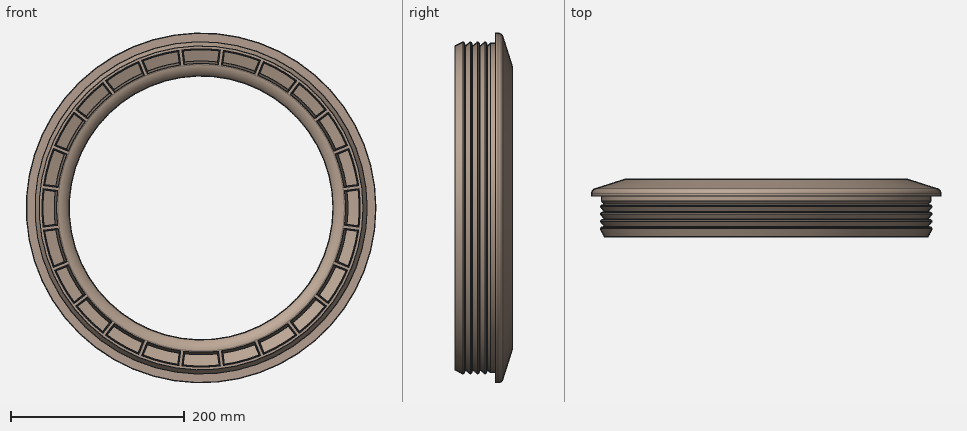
import cadquery as cq
import math


outer_radius = 201.5
total_depth = 66.5
front_rim_radius = 186.5

flange_front = 46.7
flange_round_start = 49.5
flange_round_radius = 6.0
back_slope = math.radians(17.7)
back_inner_radius = 161.5

neck_radius = 380.0 / 2
neck_front = 41.0

barb_count = 4
barb_pitch = 8.5
first_barb_tip = 9.3
barb_tip_radius = 191.5
barb_shoulder_radius = 190.2
barb_root_radius = 186.5
barb_shoulder_offset = 1.5
barb_root_offset = 3.0

bore_radius = 152.0
nose_outer_radius = 165.2
nose_depth = 8.5
nose_arc_radius = 16.0
lip_tips = [21.0, 35.5]
land_width = 2.5
lip_height = 6.0
groove_radius = 167.5
groove_front = 39.5
groove_back = 60.0

pocket_count = 24
pocket_inner_depth = 32.2
pocket_outer_depth = 28.2
pocket_outer_radius = 183.5
pocket_outer_floor_radius = 182.0
pocket_inner_radius = 166.5
pocket_inner_floor_radius = 169.3
rib_width = 3.5
rib_floor_width = 6.5


def outer_barb_points():
    """Sawtooth points from the front rim to the neck."""
    points = []
    for index in range(barb_count):
        tip = first_barb_tip + index * barb_pitch
        points.append((barb_tip_radius, tip))
        points.append((barb_shoulder_radius, tip + barb_shoulder_offset))
        points.append((barb_root_radius, tip + barb_root_offset))
    return points


def inner_lip_points():
    """Lip points from the nose towards the back of the bore."""
    points = [(bore_radius, nose_depth + land_width)]
    for tip in lip_tips:
        points.append((bore_radius + lip_height, tip - lip_height))
        points.append((bore_radius, tip))
        points.append((bore_radius, tip + land_width))
    return points


def make_body():
    """Revolve the full ring profile."""
    round_center = (outer_radius - flange_round_radius, flange_round_start)

    def round_point(angle):
        return (
            round_center[0] + flange_round_radius * math.cos(angle),
            round_center[1] + flange_round_radius * math.sin(angle),
        )

    round_sweep = math.pi / 2 - back_slope
    round_end = round_point(round_sweep)
    back_outer_radius = round_end[0] - (total_depth - round_end[1]) / math.tan(back_slope)

    profile = cq.Workplane("XY").moveTo(front_rim_radius, 0)
    for point in outer_barb_points():
        profile = profile.lineTo(*point)
    profile = (
        profile.lineTo(neck_radius, neck_front)
        .lineTo(neck_radius, flange_front)
        .lineTo(outer_radius, flange_front)
        .lineTo(outer_radius, flange_round_start)
        .threePointArc(round_point(round_sweep / 2), round_end)
        .lineTo(back_outer_radius, total_depth)
        .lineTo(back_inner_radius, total_depth)
        .lineTo(groove_radius, groove_back)
        .lineTo(groove_radius, groove_front)
    )
    for point in reversed(inner_lip_points()):
        profile = profile.lineTo(*point)
    profile = (
        profile.lineTo(bore_radius, nose_depth)
        .radiusArc((nose_outer_radius, 0), -nose_arc_radius)
        .close()
    )
    return profile.revolve(360, (0, 0, 0), (0, 1, 0))


def make_pockets():
    """Drafted annular channel with a sloping floor, split into pockets by drafted ribs."""
    pockets = (
        cq.Workplane("XY")
        .polyline([
            (pocket_inner_radius, 0),
            (pocket_outer_radius, 0),
            (pocket_outer_floor_radius, pocket_outer_depth),
            (pocket_inner_floor_radius, pocket_inner_depth),
        ])
        .close()
        .revolve(360, (0, 0, 0), (0, 1, 0))
    )
    rib = (
        cq.Workplane("XY", origin=(0, 0, bore_radius))
        .polyline([
            (-rib_width / 2, 0),
            (rib_width / 2, 0),
            (rib_floor_width / 2, pocket_inner_depth),
            (-rib_floor_width / 2, pocket_inner_depth),
        ])
        .close()
        .extrude(outer_radius - bore_radius)
    )
    step = 360 / pocket_count
    for index in range(pocket_count):
        pockets = pockets.cut(rib.rotate((0, 0, 0), (0, 1, 0), (index + 0.5) * step))
    return pockets


result = make_body().cut(make_pockets())